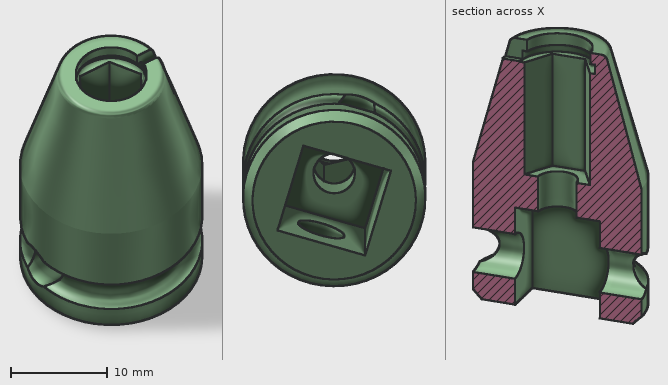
import cadquery as cq

height = 30.0
body_diameter = 19.0
body_radius = body_diameter / 2
base_chamfer = 1.0
cone_base_z = 15.5
nose_radius = 5.52
nose_fillet = 0.72

groove_z = 5.5
groove_width = 3.9
groove_depth = 1.55
pin_hole_diameter = 5.0

drive_size = 9.5
drive_depth = 11.0

mouth_radius = 3.7
mouth_depth = 1.32
ring_groove_radius = 4.2
ring_groove_floor = 2.3
hex_across_flats = 6.35
hex_floor_z = 15.0
through_hole_diameter = 4.3

slot_width = 1.25
slot_depth = 2.25


def make_body():
    """Cylinder with a tapered, rounded nose and a chamfered base."""
    profile = (
        cq.Workplane("XZ")
        .lineTo(body_radius - base_chamfer, 0)
        .lineTo(body_radius, base_chamfer)
        .lineTo(body_radius, groove_z - groove_width / 2)
        .threePointArc(
            (body_radius - groove_depth, groove_z),
            (body_radius, groove_z + groove_width / 2),
        )
        .lineTo(body_radius, cone_base_z)
        .lineTo(nose_radius, height)
        .lineTo(0, height)
        .close()
    )
    return profile.revolve().faces(">Z").edges().fillet(nose_fillet)


def bore(radius, bottom_z, top_z):
    """Vertical cylinder on the axis between two heights."""
    return cq.Workplane("XY", origin=(0, 0, bottom_z)).circle(radius).extrude(top_z - bottom_z)


def make_bit_holder():
    """Round mouth, ring groove and hexagon socket with two corners on Y."""
    ring_floor_z = height - ring_groove_floor
    mouth_floor_z = height - mouth_depth
    socket = (
        cq.Workplane("XY", origin=(0, 0, hex_floor_z))
        .polygon(6, hex_across_flats, circumscribed=True)
        .extrude(ring_floor_z - hex_floor_z)
    )
    mouth = bore(mouth_radius, mouth_floor_z, height)
    ring_groove = bore(ring_groove_radius, ring_floor_z, mouth_floor_z)
    return socket.union(ring_groove).union(mouth)


def make_nose_slot():
    """Slot from the axis out through the +Y side of the nose."""
    return cq.Workplane("XY", origin=(0, 0, height - slot_depth)).box(
        slot_width, body_radius, slot_depth, centered=(True, False, False)
    )


drive_square = cq.Workplane("XY").rect(drive_size, drive_size).extrude(drive_depth)
pin_hole = (
    cq.Workplane("XZ", origin=(0, 0, groove_z))
    .circle(pin_hole_diameter / 2)
    .extrude(body_radius, both=True)
)

result = (
    make_body()
    .cut(drive_square)
    .cut(pin_hole)
    .cut(make_bit_holder())
    .cut(bore(through_hole_diameter / 2, 0, height))
    .cut(make_nose_slot())
)